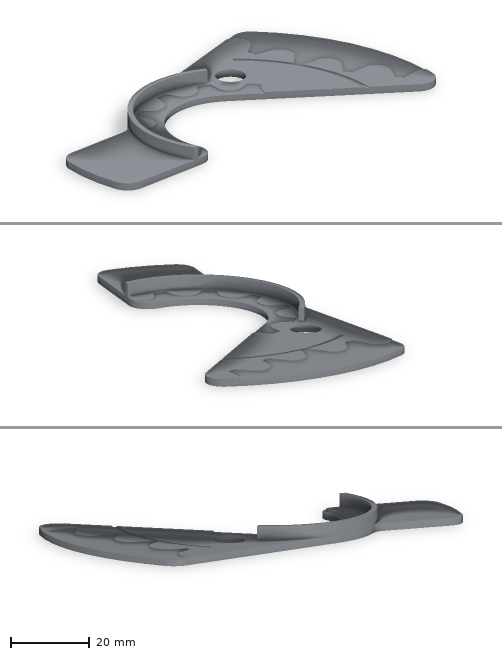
import cadquery as cq
import math

plate_thickness = 2.0
relief_depth = 0.3
wall_top = 5.5

bore_radius = 18.0
wall_inner_radius = 26.1
wall_outer_radius = 27.5
groove_inner_radius = 40.1
groove_outer_radius = 41.3
tab_end_radius = 50.0
fan_radius = 59.9

fan_left_tangent_angle = 196.0
fan_right_tangent_angle = 141.9
bore_middle_angle = 225.0
ring_middle_angle = 215.0
wall_start_angle = 150.0
wall_end_angle = 310.0
groove_start_angle = 135.0
groove_end_angle = 60.0

tab_left = -15.4
tab_right = 10.5
corner_radius = 5.0

hole_diameter = 8.0
hole_centre_radius = 30.0
hole_angle = 136.5

small_root_radius = 25.2
small_pitch_angle = 30.0
small_first_angle = 108.0
small_lobe_count = 7
small_lobe_half_angle = 11.0
small_cap_radius = 3.6
small_lobe_tip_radius = 20.2

large_centre = (-48.2, 138.1)
large_root_radius = 105.1
large_pitch_angle = 7.5
large_first_angle = -82.8
large_lobe_count = 5
large_lobe_half_angle = 3.08
large_cap_radius = 3.7
large_lobe_tip_radius = 98.5


def polar(radius, angle):
    """Point at a radius and an angle in degrees about the origin."""
    return (radius * math.cos(math.radians(angle)), radius * math.sin(math.radians(angle)))


def lower_point_on_circle(radius, x):
    """Point of an origin-centred circle at x, on the -Y side."""
    return (x, -math.sqrt(radius**2 - x**2))


def fan_corner_angle(tangent_radius, tangent_angle):
    """Direction of the point where an edge tangent to a circle meets the fan arc."""
    return tangent_angle - math.degrees(math.acos(tangent_radius / fan_radius))


def ring_sector(inner, outer, start, end, height):
    """Part of a flat ring between two directions, standing on z = 0."""
    middle = (start + end) / 2
    return (
        cq.Workplane("XY")
        .moveTo(*polar(inner, start))
        .lineTo(*polar(outer, start))
        .threePointArc(polar(outer, middle), polar(outer, end))
        .lineTo(*polar(inner, end))
        .threePointArc(polar(inner, middle), polar(inner, start))
        .close()
        .extrude(height)
    )


def make_plate():
    left_angle = fan_corner_angle(wall_outer_radius, fan_left_tangent_angle)
    right_angle = fan_corner_angle(bore_radius, fan_right_tangent_angle)
    fan_left = polar(fan_radius, left_angle)
    fan_right = polar(fan_radius, right_angle)
    bore_end = lower_point_on_circle(bore_radius, tab_right)
    tab_end_right = lower_point_on_circle(tab_end_radius, tab_right)
    tab_end_left = lower_point_on_circle(tab_end_radius, tab_left)
    tab_root = lower_point_on_circle(wall_outer_radius, tab_left)
    plate = (
        cq.Workplane("XY")
        .moveTo(*polar(wall_outer_radius, fan_left_tangent_angle))
        .lineTo(*fan_left)
        .threePointArc(polar(fan_radius, (left_angle + right_angle) / 2), fan_right)
        .lineTo(*polar(bore_radius, fan_right_tangent_angle))
        .threePointArc(polar(bore_radius, bore_middle_angle), bore_end)
        .lineTo(*tab_end_right)
        .threePointArc((0, -tab_end_radius), tab_end_left)
        .lineTo(*tab_root)
        .threePointArc(
            polar(wall_outer_radius, ring_middle_angle),
            polar(wall_outer_radius, fan_left_tangent_angle),
        )
        .close()
        .extrude(plate_thickness)
    )
    for x, y in (fan_left, fan_right, bore_end, tab_end_right, tab_end_left, tab_root):
        corner = cq.selectors.NearestToPointSelector((x, y, plate_thickness / 2))
        plate = plate.edges("|Z").edges(corner).fillet(corner_radius)
    return plate


def make_lobe(root_radius, half_angle, tip_radius, cap_radius, height):
    """Round-nosed lobe on the +X axis, pointing from the root circle to the origin."""
    cap_centre = tip_radius + cap_radius
    corner_x, corner_y = polar(root_radius, half_angle)
    reach = math.hypot(corner_x - cap_centre, corner_y)
    centre_line_angle = math.atan2(corner_y, corner_x - cap_centre)
    tangent_angle = math.degrees(centre_line_angle + math.acos(cap_radius / reach))
    nose_x, nose_y = polar(cap_radius, tangent_angle)
    nose_x += cap_centre
    return (
        cq.Workplane("XY")
        .moveTo(corner_x, corner_y)
        .lineTo(nose_x, nose_y)
        .threePointArc((tip_radius, 0), (nose_x, -nose_y))
        .lineTo(corner_x, -corner_y)
        .threePointArc((root_radius, 0), (corner_x, corner_y))
        .close()
        .extrude(height)
    )


def make_gear_relief(root_radius, lobe, first_angle, pitch_angle, lobe_count):
    """Disc to be sunk into the plate, with the lobes left standing."""
    relief = cq.Workplane("XY").circle(root_radius).extrude(relief_depth)
    for index in range(lobe_count):
        relief = relief.cut(lobe.rotate((0, 0, 0), (0, 0, 1), first_angle + index * pitch_angle))
    return relief


plate = make_plate()
relief_floor = plate_thickness - relief_depth

small_lobe = make_lobe(
    small_root_radius, small_lobe_half_angle, small_lobe_tip_radius, small_cap_radius, relief_depth
)
small_relief = make_gear_relief(
    small_root_radius, small_lobe, small_first_angle, small_pitch_angle, small_lobe_count
)
large_lobe = make_lobe(
    large_root_radius, large_lobe_half_angle, large_lobe_tip_radius, large_cap_radius, relief_depth
)
large_relief = make_gear_relief(
    large_root_radius, large_lobe, large_first_angle, large_pitch_angle, large_lobe_count
)
groove = ring_sector(
    groove_inner_radius, groove_outer_radius, groove_start_angle, groove_end_angle, relief_depth
)
result = (
    plate.cut(small_relief.translate((0, 0, relief_floor)))
    .cut(large_relief.translate((*large_centre, relief_floor)))
    .cut(groove.translate((0, 0, relief_floor)))
)

hole = cq.Workplane("XY").center(*polar(hole_centre_radius, hole_angle))
result = result.cut(hole.circle(hole_diameter / 2).extrude(plate_thickness))

wall = ring_sector(wall_inner_radius, wall_outer_radius, wall_start_angle, wall_end_angle, wall_top)
beyond_tab = (
    cq.Workplane("XY")
    .center(tab_right, 0)
    .rect(fan_radius, 2 * fan_radius)
    .extrude(wall_top)
    .translate((fan_radius / 2, 0, 0))
)
result = result.union(wall.cut(beyond_tab))